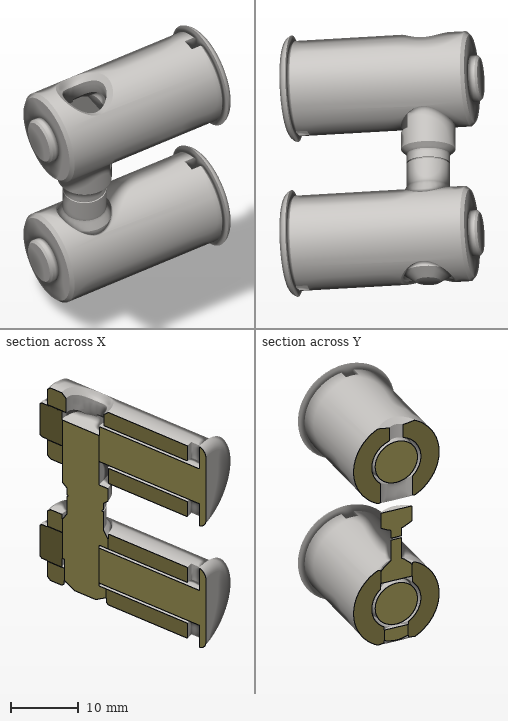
import cadquery as cq
import math

overall_height = 39.77
overall_width = 15.8
flange_radius = overall_width / 2
barrel_spacing = overall_height - overall_width
half_spacing = barrel_spacing / 2

sleeve_radius = 7.05
sleeve_front = -6.55
sleeve_back = 19.95
front_chamfer = 0.5
back_chamfer = 0.48
sleeve_bore_radius = 3.98
cross_hole_radius = 3.25
slot_width = 2.03
slot_length = 2.03

head_radius = 4.0
neck_radius = 3.22
head_reach = 1.7
flat_offset = 2.5
upper_flat_depth = 8.05
lower_flat_height = 3.98
shoulder_taper = head_radius - neck_radius
shoulder_bottom = 0.6
groove_height = -0.87
groove_width = 0.25
groove_depth = 0.2
flare_top = 7.48
flare_height = 1.45
tip_radius = 3.65
tip_end_radius = 1.85
tip_taper_height = 1.2

mouth_size = 0.8
mouth_overshoot = 1.2
mouth_points = 24

screw_radius = 3.4
screw_protrusion = 1.3
screw_chamfer = 0.3

flange_back_radius = 6.3
flange_thickness = 1.15
plug_radius = 3.5


def cylinder_y(radius, y_start, y_end):
    """Cylinder on the Y axis between two Y positions."""
    return cq.Workplane("XZ", origin=(0, y_start, 0)).circle(radius).extrude(y_start - y_end)


def mouth_ring(reach):
    """Closed curve on the chamfered mouth: reach 0 is its edge in the hole, 1 its edge on the sleeve.

    Both edges follow a ball of radius mouth_size that rolls along inside the sharp edge of the hole.
    """
    points = []
    for i in range(mouth_points):
        angle = 2 * math.pi * i / mouth_points
        ball_x = (cross_hole_radius + mouth_size) * math.cos(angle)
        ball_y = (cross_hole_radius + mouth_size) * math.sin(angle)
        ball_z = math.sqrt((sleeve_radius - mouth_size) ** 2 - ball_x**2)
        inner = cq.Vector(cross_hole_radius * math.cos(angle), cross_hole_radius * math.sin(angle), ball_z)
        spread = sleeve_radius / (sleeve_radius - mouth_size)
        outer = cq.Vector(ball_x * spread, ball_y, ball_z * spread)
        points.append(inner + (outer - inner) * reach)
    return cq.Edge.makeSpline(points, periodic=True)


def flat_ring(ring, height):
    """Copy of a closed mouth curve flattened onto a horizontal plane."""
    fractions = [i / mouth_points for i in range(mouth_points)]
    points = [cq.Vector(p.x, p.y, height) for p in ring.positions(fractions)]
    return cq.Edge.makeSpline(points, periodic=True)


def make_hole_cutter():
    """Upper half of the cross hole, from the sleeve axis out through its chamfered mouth."""
    inner = mouth_ring(0)
    outer = mouth_ring(mouth_overshoot)
    bottom = flat_ring(inner, 0)
    top = flat_ring(outer, sleeve_radius + mouth_size)
    rings = [bottom, inner, outer, top]
    faces = [cq.Face.makeRuledSurface(low, high) for low, high in zip(rings, rings[1:])]
    for ring in (bottom, top):
        faces.append(cq.Face.makeFromWires(cq.Wire.assembleEdges([ring])))
    return cq.Workplane(cq.Solid.makeSolid(cq.Shell.makeShell(faces)))


def make_sleeve(passes_tip):
    """Sleeve on the Y axis that takes a bolt head from below and, if asked, lets the tip out above."""
    sleeve = cylinder_y(sleeve_radius, sleeve_front, sleeve_back)
    sleeve = sleeve.faces("<Y").chamfer(front_chamfer)
    sleeve = sleeve.faces(">Y").chamfer(back_chamfer)

    sleeve = sleeve.cut(cylinder_y(sleeve_bore_radius, 0, sleeve_back))
    sleeve = sleeve.cut(cylinder_y(screw_radius, sleeve_front, 0))

    hole_half = make_hole_cutter()
    sleeve = sleeve.cut(hole_half).cut(hole_half.mirror("XY"))
    head_bore = cq.Workplane("XY").workplane(offset=-sleeve_radius)
    sleeve = sleeve.cut(head_bore.circle(head_radius).extrude(sleeve_radius + head_reach))

    if passes_tip:
        sleeve = sleeve.cut(cq.Workplane("XY").circle(tip_radius).extrude(sleeve_radius))

    slots = cq.Workplane("XY", origin=(0, sleeve_back - slot_length / 2, 0))
    return sleeve.cut(slots.box(slot_width, slot_length, 2 * sleeve_radius))


def make_screw():
    """Screw that fills the front hole of a sleeve, up to the bolt head."""
    screw = cylinder_y(screw_radius, sleeve_front - screw_protrusion, -head_radius)
    return screw.faces("<Y").chamfer(screw_chamfer)


def make_cap():
    """Cap with a domed-edge flange behind the sleeve and a plug that reaches the bolt flat."""
    flange_back = sleeve_back + flange_thickness

    rim_width = flange_radius - flange_back_radius
    rim_arc_radius = (rim_width**2 + flange_thickness**2) / (2 * flange_thickness)
    half_sweep = math.asin(rim_width / rim_arc_radius) / 2
    dome_middle = (
        flange_back_radius + rim_arc_radius * math.sin(half_sweep),
        flange_back - rim_arc_radius * (1 - math.cos(half_sweep)),
    )
    profile = (
        cq.Workplane("XY")
        .moveTo(flange_back_radius, flange_back)
        .lineTo(0, flange_back)
        .lineTo(0, flat_offset)
        .lineTo(plug_radius, flat_offset)
        .lineTo(plug_radius, sleeve_back)
        .lineTo(flange_radius, sleeve_back)
        .threePointArc(dome_middle, (flange_back_radius, flange_back))
        .close()
    )
    return profile.revolve(360, (0, 0, 0), (0, 1, 0))


def make_bolt():
    """Stepped bolt whose two heads sit in the sleeves, each with a flat facing a cap plug."""
    lower_axis = -half_spacing
    top = half_spacing + head_reach
    lower_head_bottom = lower_axis - head_reach
    tip_bottom = lower_axis - sleeve_radius
    groove_top = groove_height + groove_width / 2
    groove_bottom = groove_height - groove_width / 2
    outline = [
        (0, top),
        (head_radius, top),
        (head_radius, shoulder_bottom + shoulder_taper),
        (neck_radius, shoulder_bottom),
        (neck_radius, groove_top),
        (neck_radius - groove_depth, groove_top),
        (neck_radius - groove_depth, groove_bottom),
        (neck_radius, groove_bottom),
        (neck_radius, lower_axis + flare_top),
        (head_radius, lower_axis + flare_top - flare_height),
        (head_radius, lower_head_bottom),
        (tip_radius, lower_head_bottom),
        (tip_radius, tip_bottom + tip_taper_height),
        (tip_end_radius, tip_bottom),
        (0, tip_bottom),
    ]
    bolt = cq.Workplane("XZ").polyline(outline).close().revolve(360, (0, 0, 0), (0, 1, 0))

    for low, high in (
        (half_spacing - upper_flat_depth, top),
        (lower_axis - lower_flat_height, lower_axis + lower_flat_height),
    ):
        flat = cq.Workplane("XY").box(2 * head_radius, head_radius, high - low, centered=(True, False, False))
        bolt = bolt.cut(flat.translate((0, flat_offset, low)))
    return bolt


def make_barrel(height, is_lower):
    """Sleeve, screw and cap of one barrel; the lower one is turned over to face the bolt head."""
    turn = 180 if is_lower else 0
    parts = []
    for part in (make_sleeve(passes_tip=is_lower), make_screw(), make_cap()):
        turned = part.rotate((0, 0, 0), (0, 1, 0), turn)
        parts.append(turned.translate((0, 0, height)).val())
    return parts


bolt = make_bolt()
upper_barrel = make_barrel(half_spacing, is_lower=False)
lower_barrel = make_barrel(-half_spacing, is_lower=True)

result = cq.Compound.makeCompound([bolt.val(), *upper_barrel, *lower_barrel])